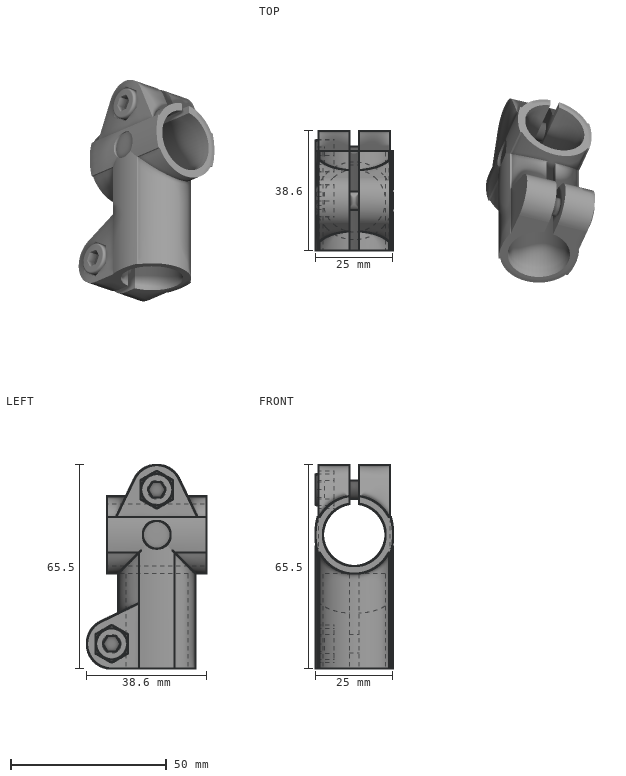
import cadquery as cq
import math

TUBE_RADIUS = 12.5
BORE_RADIUS = 10.0
BAND_HALF_WIDTH = 5.75
BAND_EDGE_X = 11.7
CROSS_LENGTH = 32.1

LUG_RADIUS = 8.0
LUG_OFFSET = 14.5
LUG_BASE_HALF = 13.0
LUG_WIDTH = 23.0
SLOT_WIDTH = 3.0

BOLT_DIAMETER = 6.0
HEAD_DIAMETER = 10.0
HEAD_HEIGHT = BOLT_DIAMETER
HEAD_FILLET = 0.5
SOCKET_FLATS = 5.0
SOCKET_DEPTH = 3.0
POCKET_FLATS = 10.5

RECESS_DIAMETER = 9.0
RECESS_FLOOR_X = LUG_WIDTH / 2

TOTAL_HEIGHT = 65.5
CROSS_HEIGHT = TOTAL_HEIGHT - LUG_OFFSET - LUG_RADIUS
BOLT_HEIGHT = LUG_RADIUS
BORE_TOP = CROSS_HEIGHT - TUBE_RADIUS
LUG_FACE_X = -LUG_WIDTH / 2
HEAD_FACE_X = -TUBE_RADIUS
HEAD_SEAT_X = HEAD_FACE_X + HEAD_HEIGHT



def tube(bottom, top):
    """Solid round tube blank with a crowned band on both flanks."""
    length = top - bottom
    plane = cq.Workplane("XY").workplane(offset=bottom)
    bands = (
        plane.moveTo(BAND_EDGE_X, -BAND_HALF_WIDTH)
        .threePointArc((TUBE_RADIUS, 0), (BAND_EDGE_X, BAND_HALF_WIDTH))
        .lineTo(-BAND_EDGE_X, BAND_HALF_WIDTH)
        .threePointArc((-TUBE_RADIUS, 0), (-BAND_EDGE_X, -BAND_HALF_WIDTH))
        .close()
        .extrude(length)
    )
    return plane.circle(TUBE_RADIUS).extrude(length).union(bands)


def lug(flat_bottom):
    """Rounded lug with sides tangent to its nose; the lower side may be square to the base."""
    reach = LUG_OFFSET - BAND_HALF_WIDTH
    distance = math.hypot(reach, LUG_BASE_HALF)
    tangent_angle = math.acos(LUG_RADIUS / distance) - math.atan2(reach, LUG_BASE_HALF)
    tangent_y = LUG_OFFSET + LUG_RADIUS * math.sin(tangent_angle)
    tangent_z = LUG_RADIUS * math.cos(tangent_angle)

    if flat_bottom:
        lower_tangent = (LUG_OFFSET, -LUG_RADIUS)
        lower_base = (BAND_HALF_WIDTH, -LUG_RADIUS)
    else:
        lower_tangent = (tangent_y, -tangent_z)
        lower_base = (BAND_HALF_WIDTH, -LUG_BASE_HALF)

    return (
        cq.Workplane("YZ")
        .moveTo(BAND_HALF_WIDTH, LUG_BASE_HALF)
        .lineTo(tangent_y, tangent_z)
        .threePointArc((LUG_OFFSET + LUG_RADIUS, 0), lower_tangent)
        .lineTo(*lower_base)
        .close()
        .extrude(LUG_WIDTH / 2, both=True)
    )


def bore_and_slot(bottom, top):
    """Tube bore with the clamping slot that opens it through the lug."""
    length = top - bottom
    plane = cq.Workplane("XY").workplane(offset=bottom)
    slot_depth = LUG_OFFSET + LUG_RADIUS
    slot = plane.center(0, slot_depth / 2).rect(SLOT_WIDTH, slot_depth).extrude(length)
    return plane.circle(BORE_RADIUS).extrude(length).union(slot)


def bolt_plane(x):
    """Plane square to the bolt axis at the given x, facing +X."""
    return cq.Workplane("YZ", origin=(x, LUG_OFFSET, 0))


def hexagon(plane, flats, depth):
    """Hexagonal prism with two corners on the local x axis."""
    return plane.polygon(6, flats / math.cos(math.pi / 6)).extrude(depth)


def head_pocket(pocket_turn):
    """Hexagonal pocket; pocket_turn is the angle of its corners from Y."""
    plane = bolt_plane(LUG_FACE_X).transformed(rotate=(0, 0, pocket_turn))
    return hexagon(plane, POCKET_FLATS, HEAD_SEAT_X - LUG_FACE_X)


def bolt(socket_turn):
    """Socket head bolt; socket_turn is the angle of the socket corners from Y."""
    head = (
        bolt_plane(HEAD_FACE_X).circle(HEAD_DIAMETER / 2).extrude(HEAD_HEIGHT)
        .faces("<X").edges().fillet(HEAD_FILLET)
    )
    shank_length = LUG_WIDTH / 2 - HEAD_SEAT_X
    shank = bolt_plane(HEAD_SEAT_X).circle(BOLT_DIAMETER / 2).extrude(shank_length)
    socket_plane = bolt_plane(HEAD_FACE_X).transformed(rotate=(0, 0, socket_turn))
    return head.union(shank).cut(hexagon(socket_plane, SOCKET_FLATS, SOCKET_DEPTH))


def lift(shape):
    """Move an upright clamp shape to the lower bolt height."""
    return shape.translate((0, 0, BOLT_HEIGHT))


def lay(shape):
    """Turn a clamp shape so its tube lies along Y and its slot opens upward."""
    return shape.rotate((0, 0, 0), (1, 0, 0), 90).translate((0, 0, CROSS_HEIGHT))


def flank_recess(side):
    """Shallow round recess on the flank at side = -1 or +1."""
    depth = TUBE_RADIUS - RECESS_FLOOR_X
    return (
        cq.Workplane("YZ", origin=(side * RECESS_FLOOR_X, 0, CROSS_HEIGHT))
        .circle(RECESS_DIAMETER / 2)
        .extrude(side * depth)
    )


half_cross = CROSS_LENGTH / 2

body = lift(tube(-BOLT_HEIGHT, CROSS_HEIGHT - BOLT_HEIGHT).union(lug(flat_bottom=True)))
body = body.union(lay(tube(-half_cross, half_cross).union(lug(flat_bottom=False))))

body = body.cut(lift(bore_and_slot(-BOLT_HEIGHT, BORE_TOP - BOLT_HEIGHT)))
body = body.cut(lay(bore_and_slot(-half_cross, half_cross)))
body = body.cut(lift(head_pocket(pocket_turn=90))).cut(lay(head_pocket(pocket_turn=0)))
for side in (-1, 1):
    body = body.cut(flank_recess(side))

result = body.union(lift(bolt(socket_turn=0))).union(lay(bolt(socket_turn=90)))